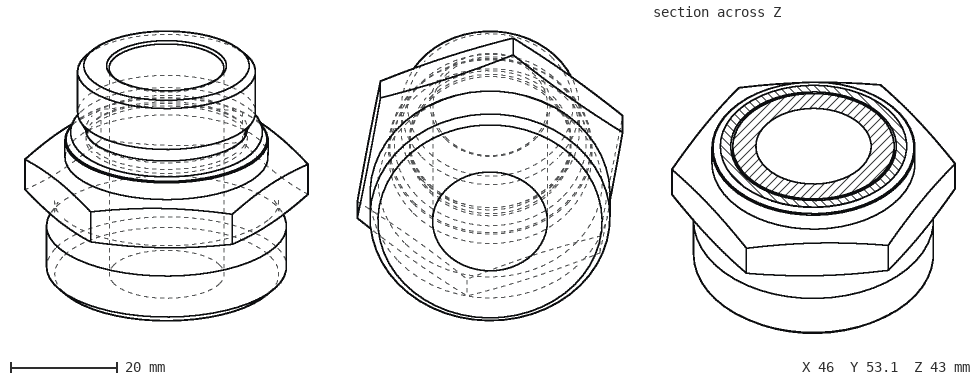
import cadquery as cq
import math

ACROSS_CORNERS = 53.1
ACROSS_FLATS = ACROSS_CORNERS * math.cos(math.radians(30))
HEX_BOTTOM = 16.0
HEX_TOP = 24.1
HEX_BEVEL_ANGLE = 15.0
HEX_FACE_RADIUS = ACROSS_FLATS / 2 - 0.05

LOWER_RADIUS = 45.0 / 2
LOWER_CHAMFER = 1.5
LOWER_CONE_START = 9.95
NECK_RADIUS = 42.0 / 2
NECK_TOP_FILLET = 1.15

COLLAR_RADIUS = 38.1 / 2
COLLAR_TOP = 27.8
COLLAR_CHAMFER = 0.2
GROOVE_RADIUS = 30.35 / 2
UPPER_RADIUS = 33.35 / 2
UPPER_CONE_START = 33.35
UPPER_CHAMFER = 1.15
TOTAL_HEIGHT = 43.0

CONE_ANGLE = 30.0
CONE_FILLET = 1.0

BORE_RADIUS = 21.5 / 2
BORE_CHAMFER = 0.5

RING_INNER_RADIUS = 30.0 / 2
RING_SECTION_RADIUS = 1.5
RING_CENTRE_RADIUS = RING_INNER_RADIUS + RING_SECTION_RADIUS
RING_HEIGHT = COLLAR_TOP + RING_SECTION_RADIUS


def cone_fillet(wall_radius, outer_radius, cone_start, toward_wall):
    """Three points (cone end, middle, wall end) of the arc blending a cone into a wall.

    toward_wall is +1 when the wall lies above the cone and -1 when it lies below.
    """
    angle = math.radians(CONE_ANGLE)
    cone_length = (outer_radius - wall_radius) / math.tan(angle)
    wall_end = cone_start + toward_wall * (cone_length + CONE_FILLET * math.tan(angle / 2))

    def arc_point(turn):
        radius = wall_radius + CONE_FILLET * (1 - math.cos(turn))
        return radius, wall_end - toward_wall * CONE_FILLET * math.sin(turn)

    return arc_point(angle), arc_point(angle / 2), arc_point(0)


def make_turned_body():
    """Revolved outside of the fitting, without the hexagon and the bore."""
    neck_cone, neck_middle, neck_wall = cone_fillet(NECK_RADIUS, LOWER_RADIUS, LOWER_CONE_START, 1)
    groove_cone, groove_middle, groove_wall = cone_fillet(
        GROOVE_RADIUS, UPPER_RADIUS, UPPER_CONE_START, -1
    )
    fillet_inset = NECK_TOP_FILLET * (1 - math.cos(math.radians(45)))
    profile = (
        cq.Workplane("XZ")
        .lineTo(LOWER_RADIUS - LOWER_CHAMFER, 0)
        .lineTo(LOWER_RADIUS, LOWER_CHAMFER)
        .lineTo(LOWER_RADIUS, LOWER_CONE_START)
        .lineTo(*neck_cone)
        .threePointArc(neck_middle, neck_wall)
        .lineTo(NECK_RADIUS, HEX_BOTTOM - NECK_TOP_FILLET)
        .threePointArc(
            (NECK_RADIUS + fillet_inset, HEX_BOTTOM - fillet_inset),
            (NECK_RADIUS + NECK_TOP_FILLET, HEX_BOTTOM),
        )
        .lineTo(COLLAR_RADIUS, HEX_BOTTOM)
        .lineTo(COLLAR_RADIUS, COLLAR_TOP - COLLAR_CHAMFER)
        .lineTo(COLLAR_RADIUS - COLLAR_CHAMFER, COLLAR_TOP)
        .lineTo(GROOVE_RADIUS, COLLAR_TOP)
        .lineTo(*groove_wall)
        .threePointArc(groove_middle, groove_cone)
        .lineTo(UPPER_RADIUS, UPPER_CONE_START)
        .lineTo(UPPER_RADIUS, TOTAL_HEIGHT - UPPER_CHAMFER)
        .lineTo(UPPER_RADIUS - UPPER_CHAMFER, TOTAL_HEIGHT)
        .lineTo(0, TOTAL_HEIGHT)
        .close()
    )
    return profile.revolve(360, (0, 0, 0), (0, 1, 0))


def make_hexagon():
    """Hexagon with corners on the Y axis, bevelled conically at both faces."""
    prism = (
        cq.Workplane("XY", origin=(0, 0, HEX_BOTTOM))
        .polygon(6, ACROSS_CORNERS)
        .extrude(HEX_TOP - HEX_BOTTOM)
        .rotate((0, 0, 0), (0, 0, 1), 90)
    )
    envelope_radius = ACROSS_CORNERS / 2 + 0.55
    bevel_drop = (envelope_radius - HEX_FACE_RADIUS) * math.tan(math.radians(HEX_BEVEL_ANGLE))
    envelope = (
        cq.Workplane("XZ")
        .polyline([
            (0, HEX_BOTTOM),
            (HEX_FACE_RADIUS, HEX_BOTTOM),
            (envelope_radius, HEX_BOTTOM + bevel_drop),
            (envelope_radius, HEX_TOP - bevel_drop),
            (HEX_FACE_RADIUS, HEX_TOP),
            (0, HEX_TOP),
        ])
        .close()
        .revolve(360, (0, 0, 0), (0, 1, 0))
    )
    return prism.intersect(envelope)


def make_bore():
    """Through bore with a chamfered mouth at the top."""
    return (
        cq.Workplane("XZ")
        .polyline([
            (0, 0),
            (BORE_RADIUS, 0),
            (BORE_RADIUS, TOTAL_HEIGHT - BORE_CHAMFER),
            (BORE_RADIUS + BORE_CHAMFER, TOTAL_HEIGHT),
            (0, TOTAL_HEIGHT),
        ])
        .close()
        .revolve(360, (0, 0, 0), (0, 1, 0))
    )


def make_o_ring():
    """Round-section seal around the groove."""
    return (
        cq.Workplane("XZ")
        .center(RING_CENTRE_RADIUS, RING_HEIGHT)
        .circle(RING_SECTION_RADIUS)
        .revolve(360, (-RING_CENTRE_RADIUS, 0, 0), (-RING_CENTRE_RADIUS, 1, 0))
    )


def make_fitting(o_ring):
    """Fitting body; the O-ring leaves a shallow matching seat in the groove wall."""
    return make_turned_body().union(make_hexagon()).cut(make_bore()).cut(o_ring)


o_ring = make_o_ring()
fitting = make_fitting(o_ring)

result = cq.Compound.makeCompound([fitting.solids().val(), o_ring.val()])